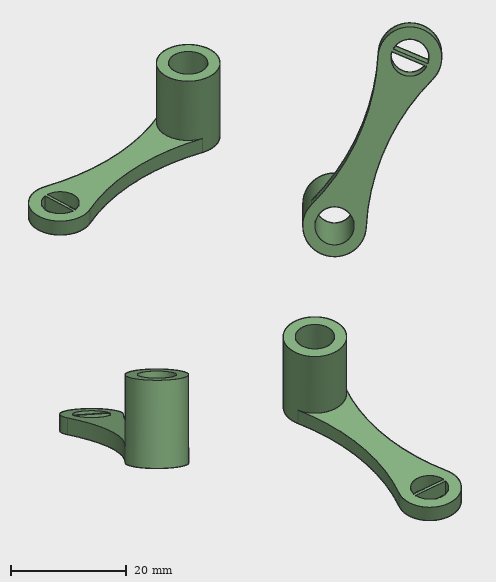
import cadquery as cq

total_length = 43.65
eye_diameter = 11.0
tube_height = 15.5
arm_thickness = 2.95
neck_width = 5.05
tube_bore = 6.75
eye_bore = 6.55
web_thickness = 0.55

eye_radius = eye_diameter / 2
half_spacing = total_length / 2 - eye_radius
half_neck = neck_width / 2

flank_radius = (half_spacing**2 + half_neck**2 - eye_radius**2) / (2 * (eye_radius - half_neck))
flank_center_x = half_neck + flank_radius
center_distance = eye_radius + flank_radius
tangent_x = flank_center_x * eye_radius / center_distance
tangent_y = half_spacing * (1 - eye_radius / center_distance)


def cylinder(diameter, height, y):
    """Upright cylinder standing on the base plane at the given Y."""
    return cq.Workplane("XY").center(0, y).circle(diameter / 2).extrude(height)


def waisted_arm():
    """Flat arm with tangent concave flanks and rounded ends."""
    return (
        cq.Workplane("XY")
        .moveTo(tangent_x, -tangent_y)
        .threePointArc((half_neck, 0), (tangent_x, tangent_y))
        .threePointArc((0, total_length / 2), (-tangent_x, tangent_y))
        .threePointArc((-half_neck, 0), (-tangent_x, -tangent_y))
        .threePointArc((0, -total_length / 2), (tangent_x, -tangent_y))
        .close()
        .extrude(arm_thickness)
    )


def cross_web():
    """Thin wall spanning the small eye's bore along X."""
    web_length = (eye_diameter + eye_bore) / 2
    return (
        cq.Workplane("XY")
        .center(0, -half_spacing)
        .rect(web_length, web_thickness)
        .extrude(arm_thickness)
    )


body = waisted_arm().union(cylinder(eye_diameter, tube_height, half_spacing))
body = body.cut(cylinder(tube_bore, tube_height, half_spacing))
body = body.cut(cylinder(eye_bore, arm_thickness, -half_spacing))
result = body.union(cross_web())